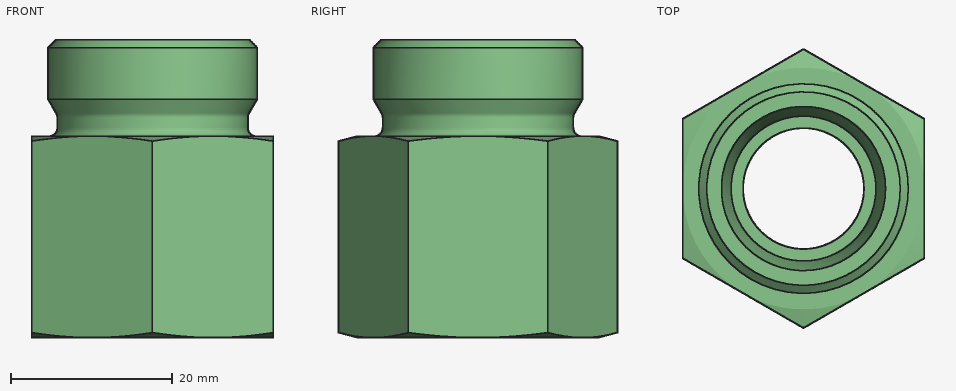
import cadquery as cq
import math

total_height = 37.0
hex_across_flats = 30.0
hex_height = 25.0
hex_corner_angle = 15.0
thread_diameter = 26.0
thread_bottom = 29.6
thread_chamfer = 1.0
neck_diameter = 23.7
runout_angle = 30.0
runout_fillet = 1.0
neck_fillet = 1.0
cone_diameter = 20.4
cone_depth = 5.33
seat_diameter = 18.0
seat_depth = 7.33
bore_diameter = 15.0

thread_radius = thread_diameter / 2
neck_radius = neck_diameter / 2
runout_height = (thread_radius - neck_radius) / math.tan(math.radians(runout_angle))
runout_bottom = thread_bottom - runout_height


def make_hexagon():
    """Hexagonal body with corners on the Y axis, chamfered at both ends."""
    flat_radius = hex_across_flats / 2
    corner_radius = flat_radius / math.cos(math.pi / 6)
    corner_drop = (corner_radius - flat_radius) * math.tan(math.radians(hex_corner_angle))
    prism = (
        cq.Workplane("XY")
        .polygon(6, 2 * corner_radius)
        .extrude(hex_height)
        .rotate((0, 0, 0), (0, 0, 1), 30)
    )
    chamfer_envelope = (
        cq.Workplane("XZ")
        .moveTo(0, 0)
        .lineTo(flat_radius, 0)
        .lineTo(corner_radius, corner_drop)
        .lineTo(corner_radius, hex_height - corner_drop)
        .lineTo(flat_radius, hex_height)
        .lineTo(0, hex_height)
        .close()
        .revolve(360, (0, 0, 0), (0, 1, 0))
    )
    return prism.intersect(chamfer_envelope)


def make_spigot():
    """Plain cylindrical end with run-out cone, neck and root fillet."""
    slope = math.radians(runout_angle)
    tangent_length = runout_fillet * math.tan(slope / 2)
    arc_top = (
        neck_radius + tangent_length * math.sin(slope),
        runout_bottom + tangent_length * math.cos(slope),
    )
    arc_middle = (
        neck_radius + runout_fillet * (1 - math.cos(slope / 2)),
        runout_bottom - tangent_length + runout_fillet * math.sin(slope / 2),
    )
    arc_bottom = (neck_radius, runout_bottom - tangent_length)
    root_middle = neck_fillet * (1 - math.sqrt(0.5))
    return (
        cq.Workplane("XZ")
        .moveTo(0, hex_height)
        .lineTo(neck_radius + neck_fillet, hex_height)
        .threePointArc(
            (neck_radius + root_middle, hex_height + root_middle),
            (neck_radius, hex_height + neck_fillet),
        )
        .lineTo(*arc_bottom)
        .threePointArc(arc_middle, arc_top)
        .lineTo(thread_radius, thread_bottom)
        .lineTo(thread_radius, total_height - thread_chamfer)
        .lineTo(thread_radius - thread_chamfer, total_height)
        .lineTo(0, total_height)
        .close()
        .revolve(360, (0, 0, 0), (0, 1, 0))
    )


def make_bore():
    """Through bore with a tube seat and a sealing cone at the top."""
    return (
        cq.Workplane("XZ")
        .moveTo(0, 0)
        .lineTo(bore_diameter / 2, 0)
        .lineTo(bore_diameter / 2, total_height - seat_depth)
        .lineTo(seat_diameter / 2, total_height - seat_depth)
        .lineTo(seat_diameter / 2, total_height - cone_depth)
        .lineTo(cone_diameter / 2, total_height)
        .lineTo(0, total_height)
        .close()
        .revolve(360, (0, 0, 0), (0, 1, 0))
    )


result = make_hexagon().union(make_spigot()).cut(make_bore())